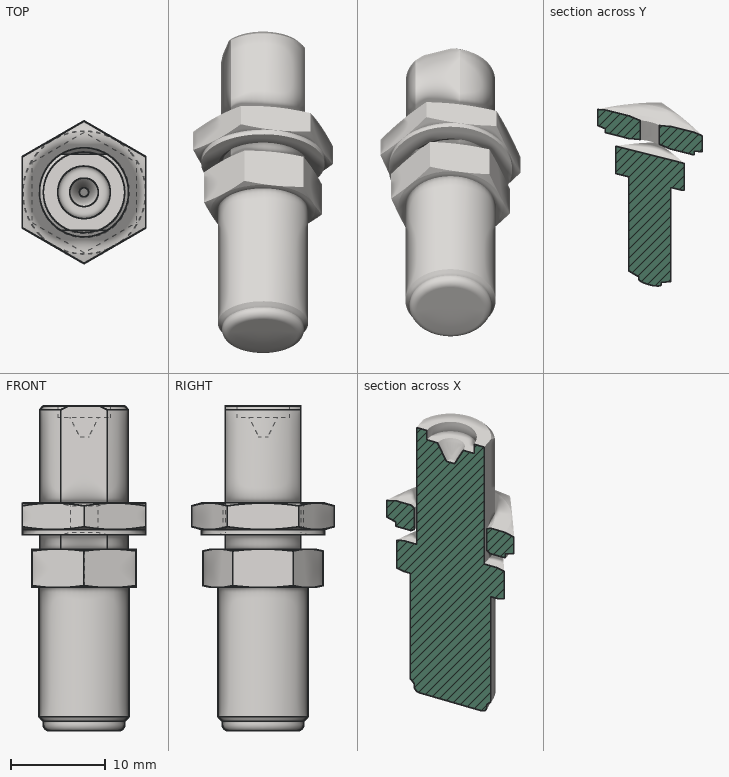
import cadquery as cq
import math

total_height = 34.25
body_radius = 4.75
thread_radius = 4.7
top_chamfer_width = 0.4
top_chamfer_height = 0.45
flats_width = 7.98

nose_radius = 4.3
nose_round = 0.72
nose_cone_bottom = 1.03
nose_cone_top = 1.5

collar_across_flats = 11.0
collar_bottom = 15.1
collar_top = 19.15
collar_face_radius = collar_across_flats / 2
collar_chamfer_height = 0.2

nut_across_flats = 13.0
nut_top = 24.0
nut_bottom = 21.2
nut_face_radius = 6.45
nut_chamfer_height = 0.3
washer_bottom = 20.65
nut_bore_radius = 4.25
countersink_depth = 0.27

counterbore_radius = 2.77
counterbore_depth = 1.2
seat_top_radius = 1.5
seat_bottom_radius = 0.48
seat_depth = 2.05

HEX_SIDES = 6


def revolve_about_z(outline):
    """Turn a closed XZ outline (X is the radius) into a solid of revolution."""
    return outline.close().revolve(360, (0, 0, 0), (0, 1, 0))


def chamfered_hexagon(across_flats, bottom, top, face_radius, chamfer_height):
    """Hexagon with corners on the Y axis, its corners coned off at both ends."""
    corner_radius = across_flats / 2 / math.cos(math.pi / HEX_SIDES)
    prism = (
        cq.Workplane("XY")
        .workplane(offset=bottom)
        .polygon(HEX_SIDES, 2 * corner_radius)
        .extrude(top - bottom)
        .rotate((0, 0, 0), (0, 0, 1), 180 / HEX_SIDES)
    )
    envelope = revolve_about_z(
        cq.Workplane("XZ")
        .moveTo(0, bottom)
        .lineTo(face_radius, bottom)
        .lineTo(corner_radius, bottom + chamfer_height)
        .lineTo(corner_radius, top - chamfer_height)
        .lineTo(face_radius, top)
        .lineTo(0, top)
    )
    return prism.intersect(envelope)


def make_body():
    round_offset = nose_round * math.sqrt(0.5)
    shaft = revolve_about_z(
        cq.Workplane("XZ")
        .lineTo(nose_radius - nose_round, 0)
        .threePointArc(
            (nose_radius - nose_round + round_offset, nose_round - round_offset),
            (nose_radius, nose_round),
        )
        .lineTo(nose_radius, nose_cone_bottom)
        .lineTo(body_radius, nose_cone_top)
        .lineTo(body_radius, collar_bottom)
        .lineTo(thread_radius, collar_bottom)
        .lineTo(thread_radius, total_height - top_chamfer_height)
        .lineTo(thread_radius - top_chamfer_width, total_height)
        .lineTo(0, total_height)
    )
    flats_height = total_height - collar_top
    flat_depth = thread_radius - flats_width / 2
    for side in (-1, 1):
        cutter = (
            cq.Workplane("XY")
            .workplane(offset=collar_top)
            .center(0, side * (flats_width + flat_depth) / 2)
            .rect(2 * thread_radius, flat_depth)
            .extrude(flats_height)
        )
        shaft = shaft.cut(cutter)
    collar = chamfered_hexagon(
        collar_across_flats, collar_bottom, collar_top, collar_face_radius, collar_chamfer_height
    )
    return shaft.union(collar)


def make_lock_nut():
    hexagon = chamfered_hexagon(
        nut_across_flats, nut_bottom, nut_top, nut_face_radius, nut_chamfer_height
    )
    washer = (
        cq.Workplane("XY")
        .workplane(offset=washer_bottom)
        .circle(nut_across_flats / 2)
        .extrude(nut_bottom - washer_bottom)
    )
    bore = revolve_about_z(
        cq.Workplane("XZ")
        .moveTo(0, washer_bottom)
        .lineTo(thread_radius, washer_bottom)
        .lineTo(nut_bore_radius, washer_bottom + countersink_depth)
        .lineTo(nut_bore_radius, nut_top - countersink_depth)
        .lineTo(thread_radius, nut_top)
        .lineTo(0, nut_top)
    )
    return hexagon.union(washer).cut(bore)


def make_top_recess():
    counterbore_floor = total_height - counterbore_depth
    seat_floor = counterbore_floor - seat_depth
    return revolve_about_z(
        cq.Workplane("XZ")
        .moveTo(0, seat_floor)
        .lineTo(seat_bottom_radius, seat_floor)
        .lineTo(seat_top_radius, counterbore_floor)
        .lineTo(counterbore_radius, counterbore_floor)
        .lineTo(counterbore_radius, total_height)
        .lineTo(0, total_height)
    )


result = make_body().union(make_lock_nut()).cut(make_top_recess())